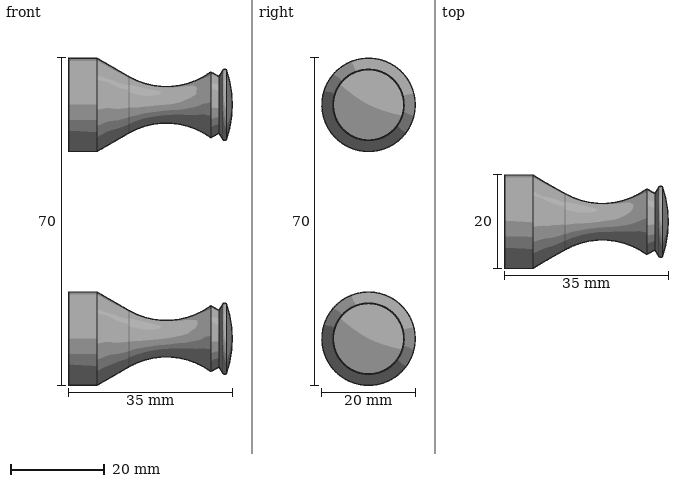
import cadquery as cq
import math

overall_height = 70.0
base_radius = 10.0
knob_spacing = overall_height - 2 * base_radius

base_length = 6.0
waist_x = 20.85
crest_x = 30.4
groove_x = 32.1
undercut_end_x = 32.8
rim_x = 33.25
dome_start_x = 33.7
knob_length = 35.0

waist_radius = 3.9
groove_radius = 6.1
undercut_end_radius = 7.3
rim_radius = 7.6
dome_radius = 7.5

neck_arc_radius = 16.0


def neck_point(x):
    """Point of the concave neck arc at axial station x."""
    drop = math.sqrt(neck_arc_radius**2 - (x - waist_x) ** 2)
    return (x, waist_radius + neck_arc_radius - drop)


def cone_end():
    """Point where a line from the base edge touches the neck arc tangentially."""
    axial = waist_x - base_length
    radial = waist_radius + neck_arc_radius - base_radius
    distance = math.hypot(axial, radial)
    line_length = math.sqrt(distance**2 - neck_arc_radius**2)
    angle = math.atan2(radial, axial) - math.atan2(neck_arc_radius, line_length)
    return neck_point(base_length + line_length * math.cos(angle))


def dome_point(radius):
    """Point of the spherical end dome at the given distance from the axis."""
    rise = knob_length - dome_start_x
    sphere_radius = (dome_radius**2 + rise**2) / (2 * rise)
    return (knob_length - sphere_radius + math.sqrt(sphere_radius**2 - radius**2), radius)


def make_knob(center_z):
    """Knob revolved about its own axis, centred at height center_z."""
    profile = (
        cq.Workplane("XZ")
        .moveTo(0, 0)
        .lineTo(0, base_radius)
        .lineTo(base_length, base_radius)
        .lineTo(*cone_end())
        .threePointArc((waist_x, waist_radius), neck_point(crest_x))
        .lineTo(groove_x, groove_radius)
        .lineTo(undercut_end_x, undercut_end_radius)
        .threePointArc((rim_x, rim_radius), (dome_start_x, dome_radius))
        .threePointArc(dome_point(dome_radius / 2), (knob_length, 0))
        .close()
    )
    knob = profile.revolve(360, (0, 0, 0), (1, 0, 0))
    return knob.translate((0, 0, center_z))


knobs = [make_knob(side * knob_spacing / 2) for side in (-1, 1)]

result = cq.Compound.makeCompound([knob.val() for knob in knobs])